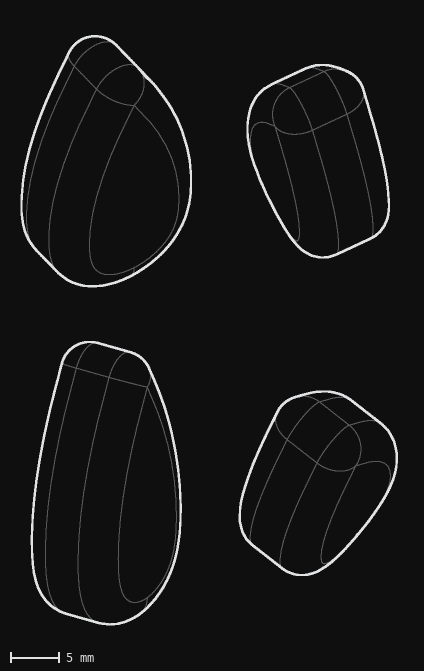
import cadquery as cq
import math

thickness = 10.0
height = 30.4
width = 17.33
edge_radius = 3.0

face_half_width = width / 2 - edge_radius
face_bottom = edge_radius
face_tip = height - edge_radius
widest_height = 10.58
tip_half_angle = 28.8

upper_flank = [(2.25, 23.15), (4.25, 18.2)]
lower_flank = [(4.47, 5.05)]

half_thickness = thickness / 2
band_half_width = half_thickness - edge_radius
tip_angle = math.radians(tip_half_angle)


def flank_curve(x):
    """+Y flank of the teardrop at the given X, from the sharp tip to the bottom."""
    points = [
        (0, face_tip),
        *upper_flank,
        (face_half_width, widest_height),
        *lower_flank,
        (0, face_bottom),
    ]
    tangents = [None] * len(points)
    tangents[0] = cq.Vector(math.sin(tip_angle), -math.cos(tip_angle))
    tangents[-1] = cq.Vector(-1, 0)
    return cq.Workplane("YZ", origin=(x, 0, 0)).moveTo(0, face_tip).spline(points, tangents=tangents)


def rim_section(plane):
    """Rim cross-section: a straight band between two quarter rounds."""
    arc_offset = edge_radius * math.sqrt(0.5)
    return (
        cq.Workplane(plane)
        .moveTo(-half_thickness, 0)
        .threePointArc((-band_half_width - arc_offset, arc_offset), (-band_half_width, edge_radius))
        .lineTo(band_half_width, edge_radius)
        .threePointArc((band_half_width + arc_offset, arc_offset), (half_thickness, 0))
        .close()
    )


def half_core():
    """+Y half of the full-thickness teardrop between the two flat faces."""
    return flank_curve(-half_thickness).close().extrude(thickness)


def tip_plane():
    """Plane across the +Y flank at the tip, its local Y pointing out of the teardrop."""
    return cq.Plane(
        origin=(0, 0, face_tip),
        xDir=(-1, 0, 0),
        normal=(0, math.sin(tip_angle), -math.cos(tip_angle)),
    )


def half_rim():
    """Rounded rim carried along the +Y flank from the tip to the bottom."""
    return rim_section(tip_plane()).sweep(flank_curve(0))


def tip_cap():
    """Rim section turned about the tip edge from one flank to the other."""
    cap_angle = 180 - 2 * tip_half_angle
    return rim_section(tip_plane()).revolve(cap_angle, (0, 0, 0), (-1, 0, 0))


half_body = half_core().union(half_rim())
result = half_body.union(half_body.mirror("XZ")).union(tip_cap()).clean()